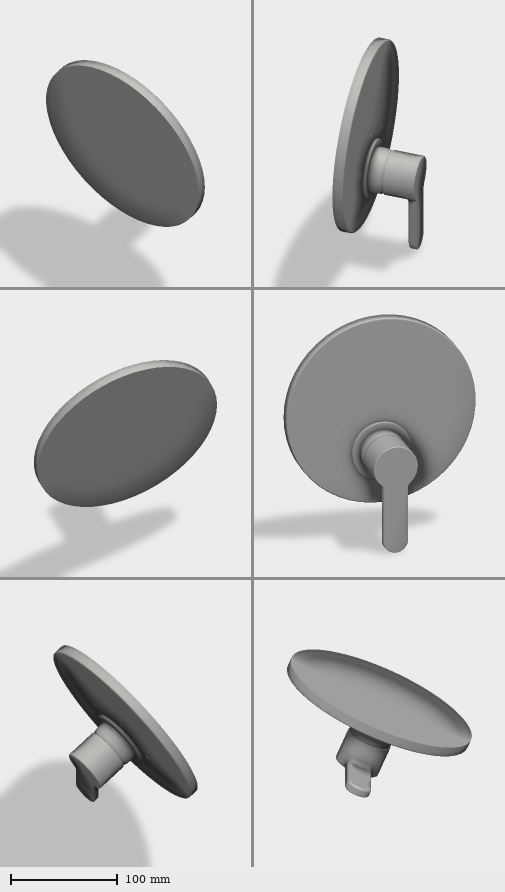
import cadquery as cq
import math

plate_diameter = 185.0
plate_thickness = 10.0
plate_edge_round = 1.5

body_axis_z = -40.0
flange_radius = 29.1
flange_thickness = 3.0
flange_edge_round = 0.9
neck_radius = 22.0
neck_length = 6.0
dome_length = 9.0
dome_end_radius = 20.0
knob_diameter = 43.0
overall_depth = 58.0
back_edge_chamfer = 0.7

lever_width = 24.1
lever_thickness = 8.3
lever_edge_round = 2.6
lever_joint_round = 5.0
overall_height = 217.5

pad_diameter = 5.2
pad_height = 0.33
pad_circle_radius = 40.9
pad_angles = (30, 90, 150)

tolerance = 0.02

flange_back_y = plate_thickness + flange_thickness
dome_start_y = flange_back_y + neck_length
dome_end_y = dome_start_y + dome_length

knob_radius = knob_diameter / 2
lever_end_radius = lever_width / 2
lever_tip_z = plate_diameter / 2 - overall_height


def disc(radius, start_y, end_y, center_x, center_z):
    """Cylinder along Y between two stations."""
    plane = cq.Workplane("XZ", origin=(center_x, end_y, center_z))
    return plane.circle(radius).extrude(end_y - start_y)


def make_plate():
    plate = disc(plate_diameter / 2, 0, plate_thickness, 0, 0)
    plate = plate.faces(">Y").edges().fillet(plate_edge_round)
    pad_back_y = plate_thickness + pad_height
    for degrees in pad_angles:
        pad_x = pad_circle_radius * math.cos(math.radians(degrees))
        pad_z = body_axis_z + pad_circle_radius * math.sin(math.radians(degrees))
        plate = plate.union(disc(pad_diameter / 2, 0, pad_back_y, pad_x, pad_z))
    return plate


def make_flange():
    flange = disc(flange_radius, 0, flange_back_y, 0, body_axis_z)
    return flange.faces(">Y").edges().fillet(flange_edge_round)


def make_neck():
    """Straight neck that curves inward, tangentially, to meet the knob."""
    profile = (
        cq.Workplane("XY")
        .lineTo(neck_radius, 0)
        .lineTo(neck_radius, dome_start_y)
        .tangentArcPoint((dome_end_radius, dome_end_y), relative=False)
        .lineTo(0, dome_end_y)
        .close()
    )
    neck = profile.revolve(360, (0, 0, 0), (0, 1, 0))
    return neck.translate((0, 0, body_axis_z))


def make_lever():
    """Flat bar with a round lower end and rounded front edges."""
    end_center_z = lever_tip_z + lever_end_radius
    lever = (
        cq.Workplane("XZ", origin=(0, overall_depth, 0))
        .moveTo(-lever_end_radius, body_axis_z)
        .lineTo(-lever_end_radius, end_center_z)
        .threePointArc((0, lever_tip_z), (lever_end_radius, end_center_z))
        .lineTo(lever_end_radius, body_axis_z)
        .close()
        .extrude(lever_thickness)
    )
    outer_edges = lever.faces("<Y").edges().filter(is_below_body_axis)
    return lever.newObject(outer_edges.vals()).fillet(lever_edge_round)


def is_below_body_axis(edge):
    return edge.Center().z < body_axis_z - tolerance


def is_joint_edge(edge):
    """True for the edges where the lever runs into the side of the knob."""
    for vertex in edge.Vertices():
        distance_from_axis = math.hypot(vertex.X, vertex.Z - body_axis_z)
        if abs(distance_from_axis - knob_radius) > tolerance:
            return False
        if abs(vertex.X) > lever_end_radius + tolerance:
            return False
    reaches_forward = edge.BoundingBox().ymin < overall_depth - tolerance
    return reaches_forward and is_below_body_axis(edge)


def make_handle():
    """Knob and lever in one piece, blended where they join."""
    knob = disc(knob_radius, dome_end_y, overall_depth, 0, body_axis_z)
    handle = knob.union(make_lever())
    joint_edges = handle.edges().filter(is_joint_edge)
    handle = handle.newObject(joint_edges.vals()).fillet(lever_joint_round)
    return handle.faces(">Y").edges().chamfer(back_edge_chamfer)


result = make_plate().union(make_flange()).union(make_neck()).union(make_handle())